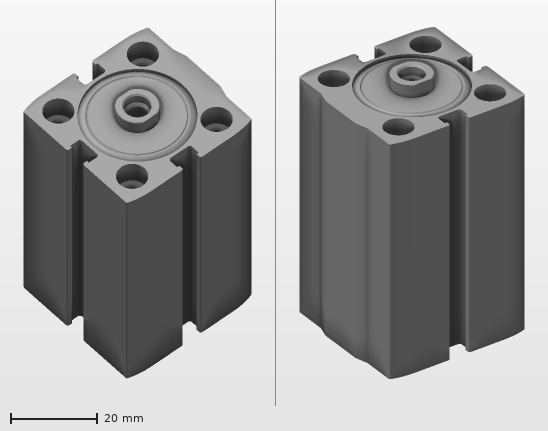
import cadquery as cq
import math

TOTAL_HEIGHT = 67.5
ROD_PROTRUSION = 3.5
BODY_TOP = TOTAL_HEIGHT - ROD_PROTRUSION

HALF_WIDTH = 19.25
CORNER_X = 18.2
SIDE_FLAT_Y = 12.8
CORNER_FILLET = 0.5
RIDGE_HEIGHT = 1.0
RIDGE_TOP_HALF = 6.0
RIDGE_BASE_HALF = 9.45

SLOT_MOUTH = 5.25
SLOT_MOUTH_FILLET = 0.5
SLOT_WIDTH = 6.6
SLOT_LIP = 1.4
SLOT_DEPTH = 4.5
SLOT_FLOOR_CHAMFER = 0.5
SLOT_DIRECTIONS = (180, 270, 0)

HOLE_PITCH = 26.0
HOLE_DIAMETER = 4.1
COUNTERSINK_DIAMETER = 4.9
COUNTERBORE_DIAMETER = 7.5
COUNTERBORE_DEPTH = 6.0

COVER_BORE_RADIUS = 13.9
COVER_BORE_DEPTH = 1.0
COVER_DROP = 0.15
RIM_RADIUS = 12.35
RIM_WIDTH = 0.3
GROOVE_DEPTH = 0.2
COVER_FACE_RADIUS = 11.5
COVER_CHAMFER = 0.2

ROD_DIAMETER = 10.4
ROD_INSERTION = 27.0
ROD_CHAMFER = 0.2
ROD_ACROSS_FLATS = 9.4
ROD_FLAT_LENGTH = 6.75
ROD_RECESS_DIAMETER = 6.4
ROD_RECESS_MOUTH = 7.15
ROD_RECESS_DEPTH = 2.7
ROD_BORE_MOUTH = 6.0
ROD_BORE_DIAMETER = 4.9
ROD_BORE_DEPTH = 12.15
DRILL_POINT_ANGLE = 118.0

COVER_TOP = BODY_TOP - COVER_DROP
ROD_BOTTOM = BODY_TOP - ROD_INSERTION


def revolve_profile(points):
    """Turn (radius, z) points about the Z axis."""
    return cq.Workplane("XZ").polyline(points).close().revolve(360, (0, 0, 0), (0, 1, 0))


def make_block():
    """Housing block with curved sides and a ridge along the back."""
    curve_run = HALF_WIDTH - SIDE_FLAT_Y
    curve_drop = HALF_WIDTH - CORNER_X
    curve_radius = (curve_run**2 + curve_drop**2) / (2 * curve_drop)
    block = (
        cq.Workplane("XY")
        .moveTo(-CORNER_X, -HALF_WIDTH)
        .lineTo(CORNER_X, -HALF_WIDTH)
        .radiusArc((HALF_WIDTH, -SIDE_FLAT_Y), -curve_radius)
        .lineTo(HALF_WIDTH, SIDE_FLAT_Y)
        .radiusArc((CORNER_X, HALF_WIDTH), -curve_radius)
        .lineTo(RIDGE_BASE_HALF, HALF_WIDTH)
        .lineTo(RIDGE_TOP_HALF, HALF_WIDTH + RIDGE_HEIGHT)
        .lineTo(-RIDGE_TOP_HALF, HALF_WIDTH + RIDGE_HEIGHT)
        .lineTo(-RIDGE_BASE_HALF, HALF_WIDTH)
        .lineTo(-CORNER_X, HALF_WIDTH)
        .radiusArc((-HALF_WIDTH, SIDE_FLAT_Y), -curve_radius)
        .lineTo(-HALF_WIDTH, -SIDE_FLAT_Y)
        .radiusArc((-CORNER_X, -HALF_WIDTH), -curve_radius)
        .close()
        .extrude(BODY_TOP)
    )
    for x in (-CORNER_X, CORNER_X):
        for y in (-HALF_WIDTH, HALF_WIDTH):
            corner_edge = cq.selectors.NearestToPointSelector((x, y, BODY_TOP / 2))
            block = block.edges(corner_edge).fillet(CORNER_FILLET)
    return block


def make_slot(direction):
    """T-slot cutter opening outward in the given direction, in degrees from +X."""
    face = HALF_WIDTH
    mouth = SLOT_MOUTH / 2
    pocket = SLOT_WIDTH / 2
    floor = face - SLOT_DEPTH
    fillet = SLOT_MOUTH_FILLET
    cutter = (
        cq.Workplane("XY")
        .moveTo(face, -mouth - fillet)
        .radiusArc((face - fillet, -mouth), -fillet)
        .lineTo(face - SLOT_LIP, -mouth)
        .lineTo(face - SLOT_LIP, -pocket)
        .lineTo(floor + SLOT_FLOOR_CHAMFER, -pocket)
        .lineTo(floor, -pocket + SLOT_FLOOR_CHAMFER)
        .lineTo(floor, pocket - SLOT_FLOOR_CHAMFER)
        .lineTo(floor + SLOT_FLOOR_CHAMFER, pocket)
        .lineTo(face - SLOT_LIP, pocket)
        .lineTo(face - SLOT_LIP, mouth)
        .lineTo(face - fillet, mouth)
        .radiusArc((face, mouth + fillet), -fillet)
        .close()
        .extrude(BODY_TOP)
    )
    return cutter.rotate((0, 0, 0), (0, 0, 1), direction)


def make_mounting_hole():
    """Stepped through hole on the Z axis: counterbore, countersink, hole."""
    hole = HOLE_DIAMETER / 2
    sink = COUNTERSINK_DIAMETER / 2
    bore = COUNTERBORE_DIAMETER / 2
    floor = BODY_TOP - COUNTERBORE_DEPTH
    return revolve_profile([
        (0, 0),
        (hole, 0),
        (hole, floor - (sink - hole)),
        (sink, floor),
        (bore, floor),
        (bore, BODY_TOP),
        (0, BODY_TOP),
    ])


def make_cover_relief():
    """Material removed from the housing top to leave the round end cover."""
    rim_inner = RIM_RADIUS - RIM_WIDTH
    groove_floor = COVER_TOP - GROOVE_DEPTH
    return revolve_profile([
        (0, BODY_TOP),
        (0, COVER_TOP),
        (COVER_FACE_RADIUS, COVER_TOP),
        (COVER_FACE_RADIUS + COVER_CHAMFER, groove_floor),
        (rim_inner - COVER_CHAMFER, groove_floor),
        (rim_inner, COVER_TOP),
        (RIM_RADIUS, COVER_TOP),
        (COVER_BORE_RADIUS, BODY_TOP - COVER_BORE_DEPTH),
        (COVER_BORE_RADIUS, BODY_TOP),
    ])


def make_housing():
    housing = make_block()
    for direction in SLOT_DIRECTIONS:
        housing = housing.cut(make_slot(direction))
    for x in (-HOLE_PITCH / 2, HOLE_PITCH / 2):
        for y in (-HOLE_PITCH / 2, HOLE_PITCH / 2):
            housing = housing.cut(make_mounting_hole().translate((x, y, 0)))
    housing = housing.cut(make_cover_relief())
    rod_hole = cq.Workplane("XY").workplane(offset=ROD_BOTTOM).circle(ROD_DIAMETER / 2).extrude(ROD_INSERTION)
    return housing.cut(rod_hole)


def make_rod():
    """Piston rod with wrench flats and a stepped threaded bore."""
    radius = ROD_DIAMETER / 2
    mouth = ROD_RECESS_MOUTH / 2
    recess = ROD_RECESS_DIAMETER / 2
    bore = ROD_BORE_DIAMETER / 2
    bore_mouth = ROD_BORE_MOUTH / 2
    recess_floor = TOTAL_HEIGHT - ROD_RECESS_DEPTH
    bore_floor = TOTAL_HEIGHT - ROD_BORE_DEPTH
    drill_tip = bore_floor - bore / math.tan(math.radians(DRILL_POINT_ANGLE / 2))
    rod = revolve_profile([
        (0, ROD_BOTTOM),
        (radius, ROD_BOTTOM),
        (radius, TOTAL_HEIGHT - ROD_CHAMFER),
        (radius - ROD_CHAMFER, TOTAL_HEIGHT),
        (mouth, TOTAL_HEIGHT),
        (recess, TOTAL_HEIGHT - (mouth - recess)),
        (recess, recess_floor),
        (bore_mouth, recess_floor),
        (bore, recess_floor - (bore_mouth - bore)),
        (bore, bore_floor),
        (0, drill_tip),
    ])
    flat_depth = radius - ROD_ACROSS_FLATS / 2
    for side in (-1, 1):
        flat = (
            cq.Workplane("XY")
            .box(flat_depth, ROD_DIAMETER, ROD_FLAT_LENGTH, centered=(True, True, False))
            .translate((side * (ROD_ACROSS_FLATS + flat_depth) / 2, 0, TOTAL_HEIGHT - ROD_FLAT_LENGTH))
        )
        rod = rod.cut(flat)
    return rod


housing = make_housing()
rod = make_rod()
result = cq.Compound.makeCompound([housing.val(), rod.val()])